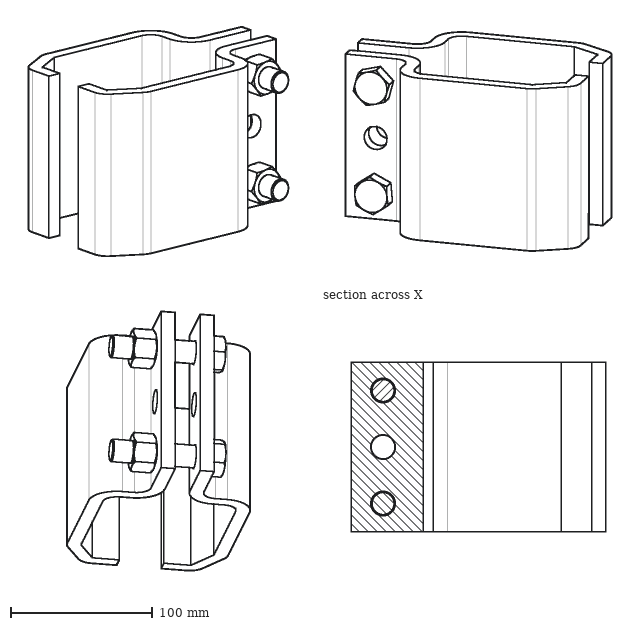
import cadquery as cq
import math

height = 120.0
depth = 180.0
half_width = 58.0
thickness = 10.0
clamp_gap = 18.0
mouth_gap = 32.0
shoulder_drop = 47.9
shoulder_inner_radius = 10.0
shoulder_outer_radius = shoulder_inner_radius + thickness
slope_width = 12.5
slope_angle = 60.0
slope_outer_radius = 12.0

bolt_diameter = 16.0
hole_diameter = 17.0
hole_pitch = 40.0
hole_drop = 22.5
shank_length = 70.0
tip_chamfer = 0.9
hex_across_flats = 24.0
hex_corner_diameter = hex_across_flats / math.cos(math.radians(30))
hex_chamfer_angle = 30.0
head_height = 10.6
nut_height = 16.0
nut_clearance = 1.0
head_turns = {hole_pitch: 45.0, -hole_pitch: 25.0}
nut_turn = 8.0

back_y = depth / 2
front_y = -depth / 2
hole_y = back_y - hole_drop
flange_inner_x = clamp_gap / 2
flange_outer_x = flange_inner_x + thickness


def plate_outline():
    """Sharp-cornered section of the right-hand plate and the corners that are bent round."""
    slope = math.radians(slope_angle)
    wall_inner_x = half_width - thickness
    shoulder_y = back_y - shoulder_drop
    lip_inner_y = front_y + thickness
    lip_corner_x = wall_inner_x - slope_width
    slope_top_y = lip_inner_y + slope_width * math.tan(slope)
    outer_slope_top_y = slope_top_y - thickness * math.tan((math.pi / 2 - slope) / 2)
    outer_slope_foot_x = lip_corner_x + thickness * math.tan(slope / 2)
    corners = {
        "flange inner bend": (flange_inner_x, shoulder_y - thickness),
        "shoulder inner bend": (wall_inner_x, shoulder_y - thickness),
        "slope outer top": (half_width, outer_slope_top_y),
        "slope outer foot": (outer_slope_foot_x, front_y),
        "shoulder outer bend": (half_width, shoulder_y),
        "flange outer bend": (flange_outer_x, shoulder_y),
    }
    points = [
        (flange_inner_x, back_y),
        corners["flange inner bend"],
        corners["shoulder inner bend"],
        (wall_inner_x, slope_top_y),
        (lip_corner_x, lip_inner_y),
        (mouth_gap / 2, lip_inner_y),
        (mouth_gap / 2, front_y),
        corners["slope outer foot"],
        corners["slope outer top"],
        corners["shoulder outer bend"],
        corners["flange outer bend"],
        (flange_outer_x, back_y),
    ]
    return points, corners


def round_corner(body, corner, radius):
    """Round the vertical edge that stands at the given corner."""
    nearest = cq.selectors.NearestToPointSelector((*corner, 0))
    return body.edges("|Z").edges(nearest).fillet(radius)


def make_right_plate():
    points, corners = plate_outline()
    plate = cq.Workplane("XY").polyline(points).close().extrude(height / 2, both=True)
    bend_radii = {
        "flange inner bend": shoulder_outer_radius,
        "shoulder inner bend": shoulder_inner_radius,
        "slope outer top": slope_outer_radius,
        "slope outer foot": slope_outer_radius,
        "shoulder outer bend": shoulder_outer_radius,
        "flange outer bend": shoulder_inner_radius,
    }
    for name, radius in bend_radii.items():
        plate = round_corner(plate, corners[name], radius)
    holes = (
        cq.Workplane("YZ", origin=(flange_inner_x, hole_y, 0))
        .pushPoints([(0, -hole_pitch), (0, 0), (0, hole_pitch)])
        .circle(hole_diameter / 2)
        .extrude(thickness)
    )
    return plate.cut(holes)


def hex_block(length, turn, both_ends):
    """Hexagonal prism along +X from the origin, coned at its start and, if asked, at its end."""
    flat_radius = hex_across_flats / 2
    corner_radius = hex_corner_diameter / 2
    cone = (corner_radius - flat_radius) * math.tan(math.radians(hex_chamfer_angle))
    prism = (
        cq.Workplane("YZ")
        .transformed(rotate=(0, 0, turn))
        .polygon(6, hex_corner_diameter)
        .extrude(length)
    )
    envelope = cq.Workplane("YZ").circle(corner_radius).extrude(length)
    coned_faces = "<X or >X" if both_ends else "<X"
    envelope = envelope.faces(coned_faces).chamfer(cone, corner_radius - flat_radius)
    return prism.intersect(envelope)


def make_bolt(z):
    """Bolt whose head bears on the left flange."""
    head = hex_block(head_height, head_turns[z], both_ends=False)
    shank = (
        cq.Workplane("YZ", origin=(head_height, 0, 0))
        .circle(bolt_diameter / 2)
        .extrude(shank_length)
        .faces(">X")
        .chamfer(tip_chamfer)
    )
    return head.union(shank).translate((-flange_outer_x - head_height, hole_y, z))


def make_nut(z):
    """Nut on the right-hand side, bored to the bolt diameter."""
    bore = cq.Workplane("YZ").circle(bolt_diameter / 2).extrude(nut_height)
    nut = hex_block(nut_height, nut_turn, both_ends=True).cut(bore)
    return nut.translate((flange_outer_x + nut_clearance, hole_y, z))


right_plate = make_right_plate()
left_plate = right_plate.mirror("YZ")
bolts = [make_bolt(z) for z in head_turns]
nuts = [make_nut(z) for z in head_turns]

bodies = [right_plate, left_plate, *bolts, *nuts]
result = cq.Compound.makeCompound([body.val() for body in bodies])